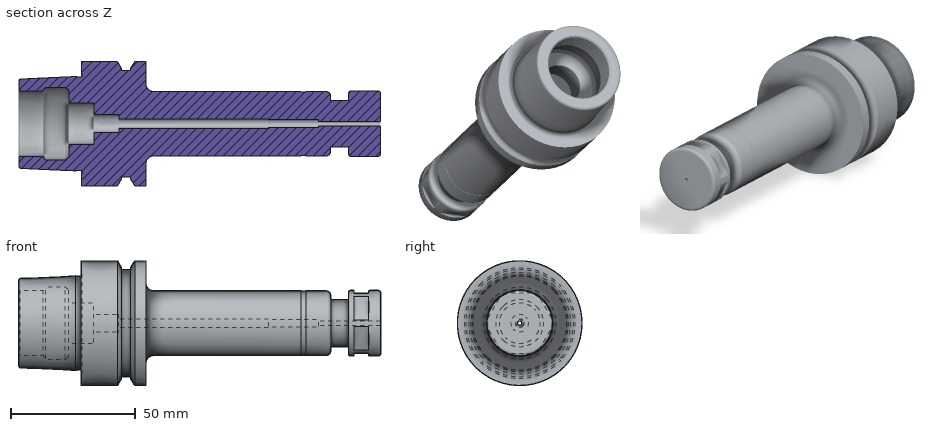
import cadquery as cq
import math

TOTAL_LENGTH = 145.0
FLANGE_START = 25.0
FLANGE_END = 51.0

TAPER_START_RADIUS = 18.0
TAPER_END_RADIUS = 19.0
TAPER_END = 22.85
TAPER_EDGE_RADIUS = 1.0
NECK_RADIUS = 18.8
NECK_START = 23.6

FACE_RECESS_OUTER_RADIUS = 20.4
FACE_RECESS_INNER_RADIUS = 19.5
FACE_RECESS_DEPTH = 0.4

FLANGE_RADIUS = 25.0
GROOVE_START = 39.6
GROOVE_END = 46.5
GROOVE_FLOOR_START = 41.2
GROOVE_FLOOR_END = 44.7
GROOVE_FLOOR_RADIUS = 21.5
GROOVE_STEP_RADIUS = 22.2

SHANK_RADIUS = 13.0
SHANK_END = 125.0
SHANK_ROOT_RADIUS = 3.0
SHANK_EDGE_RADIUS = 2.0
BAND_START = 113.0
BAND_END = 115.0
BAND_RADIUS = 12.9

NUT_STEM_RADIUS = 9.5
NUT_LENGTH = 13.0
NUT_START = TOTAL_LENGTH - NUT_LENGTH
NUT_RADIUS = 13.2
NUT_BACK_EDGE_RADIUS = 1.0
NUT_FRONT_EDGE_RADIUS = 1.2
FLAT_COUNT = 6
FLAT_WIDTH = 10.8
FLAT_START = NUT_START + 2.3
FLAT_END = NUT_START + 8.0
FLAT_END_WALL_TILT = 10.0

BORE_RADIUS = 13.0
BORE_CHAMFER = 0.5
BORE_LIP_DEPTH = 9.8
CAVITY_RADIUS = 14.5
CAVITY_LIP_TAPER = 0.9
CAVITY_WALL_END = 18.6
CAVITY_DEPTH = 20.0
CAVITY_FLOOR_RADIUS = 13.5
PASSAGE_STEPS = [
    (8.15, 30.0),
    (3.5, 40.0),
    (1.75, 100.0),
    (1.5, 120.0),
    (0.85, TOTAL_LENGTH),
]


def corner_arc(profile, center, radius, start_angle, end_angle):
    """Run a line to a circular arc, given by its centre and angles, and follow the arc."""
    def point(angle):
        turn = math.radians(angle)
        return (center[0] + radius * math.cos(turn), center[1] + radius * math.sin(turn))

    middle_angle = (start_angle + end_angle) / 2
    return profile.lineTo(*point(start_angle)).threePointArc(point(middle_angle), point(end_angle))


def revolve_about_x(profile):
    """Close a half profile along the spindle axis and turn it into a solid."""
    return profile.close().revolve(360, (0, 0, 0), (1, 0, 0))


def add_taper_and_neck(profile):
    """Hollow taper, its relieved neck and the recess in the flange face."""
    edge_center = (TAPER_EDGE_RADIUS, TAPER_START_RADIUS - TAPER_EDGE_RADIUS)
    profile = corner_arc(profile, edge_center, TAPER_EDGE_RADIUS, 180, 90)
    profile = profile.lineTo(TAPER_END, TAPER_END_RADIUS)
    profile = profile.lineTo(NECK_START, NECK_RADIUS)
    neck_fillet = FACE_RECESS_INNER_RADIUS - NECK_RADIUS
    fillet_center = (FLANGE_START + FACE_RECESS_DEPTH - neck_fillet, FACE_RECESS_INNER_RADIUS)
    profile = corner_arc(profile, fillet_center, neck_fillet, 270, 360)
    return profile.lineTo(FLANGE_START, FACE_RECESS_OUTER_RADIUS)


def add_flange(profile):
    """Flange with its gripper groove."""
    profile = profile.lineTo(FLANGE_START, FLANGE_RADIUS)
    profile = profile.lineTo(GROOVE_START, FLANGE_RADIUS)
    profile = profile.lineTo(GROOVE_FLOOR_START, GROOVE_STEP_RADIUS)
    profile = profile.lineTo(GROOVE_FLOOR_START, GROOVE_FLOOR_RADIUS)
    profile = profile.lineTo(GROOVE_FLOOR_END, GROOVE_FLOOR_RADIUS)
    profile = profile.lineTo(GROOVE_FLOOR_END, GROOVE_STEP_RADIUS)
    profile = profile.lineTo(GROOVE_END, FLANGE_RADIUS)
    return profile.lineTo(FLANGE_END, FLANGE_RADIUS)


def add_shank(profile):
    """Shank with a root fillet, a shallow band groove and a rounded end."""
    root_center = (FLANGE_END + SHANK_ROOT_RADIUS, SHANK_RADIUS + SHANK_ROOT_RADIUS)
    profile = corner_arc(profile, root_center, SHANK_ROOT_RADIUS, 180, 270)
    profile = profile.lineTo(BAND_START, SHANK_RADIUS)
    profile = profile.lineTo(BAND_START, BAND_RADIUS)
    profile = profile.lineTo(BAND_END, BAND_RADIUS)
    profile = profile.lineTo(BAND_END, SHANK_RADIUS)
    edge_center = (SHANK_END - SHANK_EDGE_RADIUS, SHANK_RADIUS - SHANK_EDGE_RADIUS)
    return corner_arc(profile, edge_center, SHANK_EDGE_RADIUS, 90, 0)


def add_nut(profile):
    """Narrow stem and the round body of the clamping nut."""
    profile = profile.lineTo(SHANK_END, NUT_STEM_RADIUS)
    profile = profile.lineTo(NUT_START, NUT_STEM_RADIUS)
    back_center = (NUT_START + NUT_BACK_EDGE_RADIUS, NUT_RADIUS - NUT_BACK_EDGE_RADIUS)
    profile = corner_arc(profile, back_center, NUT_BACK_EDGE_RADIUS, 180, 90)
    front_center = (TOTAL_LENGTH - NUT_FRONT_EDGE_RADIUS, NUT_RADIUS - NUT_FRONT_EDGE_RADIUS)
    return corner_arc(profile, front_center, NUT_FRONT_EDGE_RADIUS, 90, 0)


def make_outer_body():
    """Taper, flange, shank and nut as one solid of revolution."""
    profile = cq.Workplane("XY").moveTo(0, 0)
    profile = add_taper_and_neck(profile)
    profile = add_flange(profile)
    profile = add_shank(profile)
    profile = add_nut(profile)
    return revolve_about_x(profile.lineTo(TOTAL_LENGTH, 0))


def make_bore():
    """Clamping cavity and the stepped coolant passage through the part."""
    profile = cq.Workplane("XY").moveTo(0, 0)
    profile = profile.lineTo(0, BORE_RADIUS + BORE_CHAMFER)
    profile = profile.lineTo(BORE_CHAMFER, BORE_RADIUS)
    profile = profile.lineTo(BORE_LIP_DEPTH, BORE_RADIUS)
    profile = profile.lineTo(BORE_LIP_DEPTH + CAVITY_LIP_TAPER, CAVITY_RADIUS)
    profile = profile.lineTo(CAVITY_WALL_END, CAVITY_RADIUS)
    profile = profile.lineTo(CAVITY_DEPTH, CAVITY_FLOOR_RADIUS)
    start = CAVITY_DEPTH
    for radius, end in PASSAGE_STEPS:
        profile = profile.lineTo(start, radius)
        profile = profile.lineTo(end, radius)
        start = end
    profile = profile.lineTo(TOTAL_LENGTH, 0)
    return revolve_about_x(profile)


def make_flat_cutter(angle):
    """Block that cuts one wrench flat into the nut."""
    flat_distance = math.sqrt(NUT_RADIUS**2 - (FLAT_WIDTH / 2) ** 2)
    end_wall_lean = NUT_RADIUS * math.tan(math.radians(FLAT_END_WALL_TILT))
    profile = cq.Workplane("XZ").moveTo(FLAT_START, flat_distance)
    profile = profile.lineTo(FLAT_END, flat_distance)
    profile = profile.lineTo(FLAT_END + end_wall_lean, flat_distance + NUT_RADIUS)
    profile = profile.lineTo(FLAT_START, flat_distance + NUT_RADIUS)
    block = profile.close().extrude(NUT_RADIUS, both=True)
    return block.rotate((0, 0, 0), (1, 0, 0), angle)


result = make_outer_body().cut(make_bore())
for index in range(FLAT_COUNT):
    result = result.cut(make_flat_cutter(index * 360 / FLAT_COUNT))